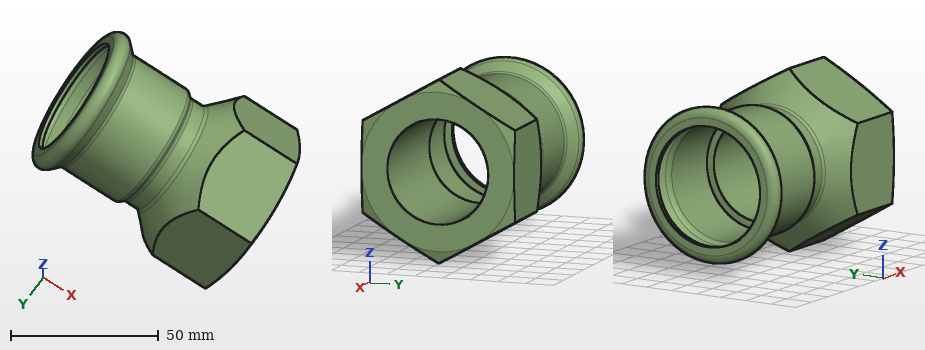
import cadquery as cq
import math

length = 74.0
hex_across_flats = 55.0
hex_across_corners = hex_across_flats / math.cos(math.radians(30))
corner_radius = hex_across_corners / 2

bead_top_radius = 27.0
bead_round = 3.2
bead_slope = 44.0
tube_radius = 45.0 / 2
step_start = 32.05
neck_radius = 41.4 / 2
blend_radius = 1.85

cone_end = 51.1
cone_start = cone_end - (corner_radius - neck_radius)
end_face_radius = hex_across_flats / 2
end_chamfer_angle = 15.0
end_chamfer_length = (corner_radius - end_face_radius) * math.tan(math.radians(end_chamfer_angle))

slope = math.radians(bead_slope)
bead_centre_radius = bead_top_radius - bead_round
tangent_x = bead_round * (1 + math.sin(slope))
tangent_radius = bead_centre_radius + bead_round * math.cos(slope)
tube_start = tangent_x + (tangent_radius - tube_radius) / math.tan(slope)

wall = 1.55
socket_radius = tube_radius - wall
socket_start = tube_start - wall * math.tan(slope / 2)
socket_end = step_start
bore_radius = 18.1
groove_round = bead_round - wall
groove_top_radius = bead_top_radius - wall
groove_tangent_x = bead_round + groove_round * math.sin(slope)
groove_tangent_radius = bead_centre_radius + groove_round * math.cos(slope)


def revolve_about_x(profile):
    """Close a half profile along the X axis and turn it into a solid."""
    return profile.close().revolve(360, (0, 0, 0), (1, 0, 0))


def blend_at(body, x, radius, blend):
    """Round the circular edge of the given radius at position x."""
    margin = 0.1
    ring = cq.selectors.BoxSelector(
        (x - margin, -radius - margin, -radius - margin),
        (x + margin, radius + margin, radius + margin),
        boundingbox=True,
    )
    return body.edges(ring).fillet(blend)


def make_outer_body():
    """Turned outside: bead, tube, neck, cone and chamfered end."""
    step_end = step_start + tube_radius - neck_radius
    profile = (
        cq.Workplane("XY")
        .lineTo(0, bead_centre_radius)
        .threePointArc((bead_round, bead_top_radius), (tangent_x, tangent_radius))
        .lineTo(tube_start, tube_radius)
        .lineTo(step_start, tube_radius)
        .lineTo(step_end, neck_radius)
        .lineTo(cone_start, neck_radius)
        .lineTo(cone_end, corner_radius)
        .lineTo(length - end_chamfer_length, corner_radius)
        .lineTo(length, end_face_radius)
        .lineTo(length, 0)
    )
    body = revolve_about_x(profile)
    for x, radius in (
        (tube_start, tube_radius),
        (step_start, tube_radius),
        (step_end, neck_radius),
        (cone_start, neck_radius),
    ):
        body = blend_at(body, x, radius, blend_radius)
    return body


def make_hexagon():
    """Hexagonal envelope with corners up and down and flats on both Y sides."""
    return (
        cq.Workplane("YZ")
        .polygon(6, hex_across_corners)
        .extrude(length)
        .rotate((0, 0, 0), (1, 0, 0), 90)
    )


def make_cavity():
    """Through bore, socket and the seal groove under the bead, concentric with it."""
    profile = (
        cq.Workplane("XY")
        .lineTo(0, socket_radius)
        .lineTo(wall, socket_radius)
        .lineTo(wall, bead_centre_radius)
        .threePointArc((bead_round, groove_top_radius), (groove_tangent_x, groove_tangent_radius))
        .lineTo(socket_start, socket_radius)
        .lineTo(socket_end, socket_radius)
        .lineTo(socket_end, bore_radius)
        .lineTo(length, bore_radius)
        .lineTo(length, 0)
    )
    return blend_at(revolve_about_x(profile), socket_start, socket_radius, blend_radius + wall)


result = make_outer_body().intersect(make_hexagon()).cut(make_cavity())